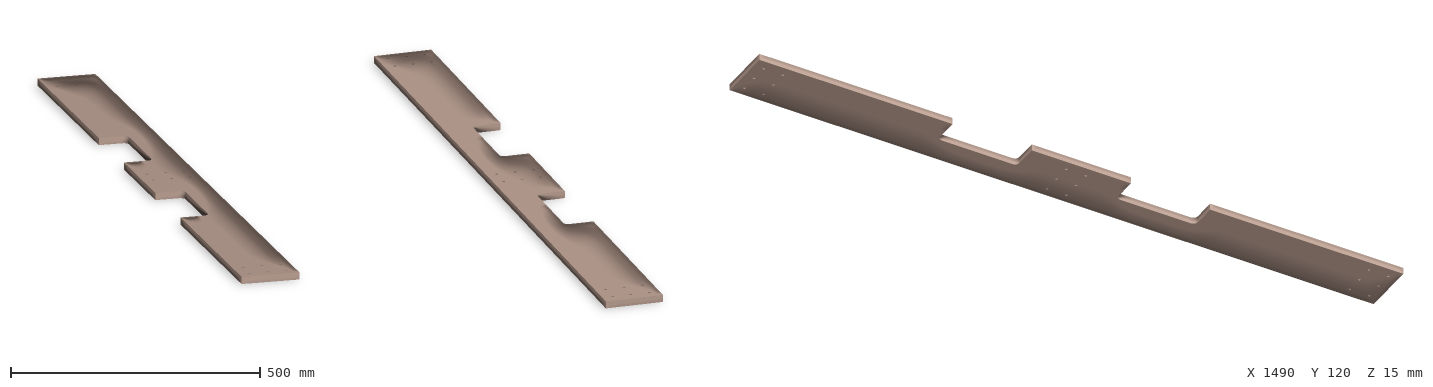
import cadquery as cq

length = 1490.0
width = 120.0
thickness = 15.0

tab_width = 230.0
notch_width = 183.0
notch_depth = width / 2
notch_corner_radius = 10.0
notch_offset = (tab_width + notch_width) / 2

hole_diameter = 6.0
hole_columns = 2
hole_rows = 3
column_spacing = 45.0
row_spacing = 39.0
end_margin = 22.0
end_group_offset = length / 2 - end_margin - column_spacing / 2


def make_notch(center_x):
    """Open-edged cutter with its two inner corners rounded."""
    return (
        cq.Workplane("XY")
        .center(center_x, -width / 2)
        .rect(notch_width, 2 * notch_depth)
        .extrude(thickness)
        .edges("|Z and >Y")
        .fillet(notch_corner_radius)
    )


def make_hole_group(center_x):
    """Grid of cylinders centred across the plate width."""
    return (
        cq.Workplane("XY")
        .center(center_x, 0)
        .rarray(column_spacing, row_spacing, hole_columns, hole_rows)
        .circle(hole_diameter / 2)
        .extrude(thickness)
    )


result = cq.Workplane("XY").box(length, width, thickness, centered=(True, True, False))

for notch_x in (-notch_offset, notch_offset):
    result = result.cut(make_notch(notch_x))

for group_x in (-end_group_offset, 0, end_group_offset):
    result = result.cut(make_hole_group(group_x))